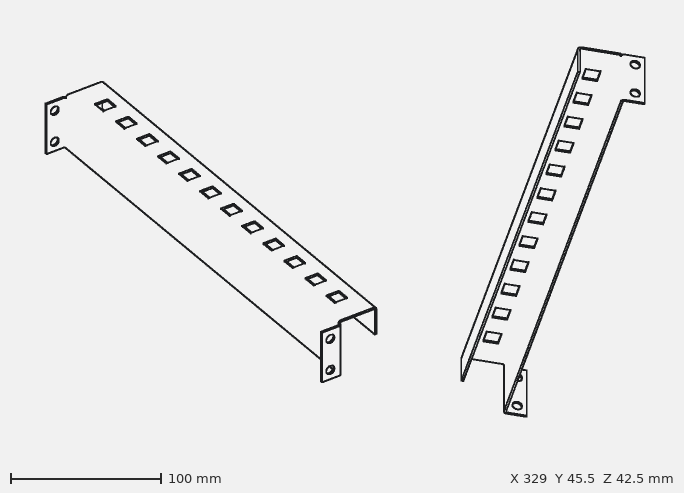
import cadquery as cq

length = 329.0
overall_depth = 45.5
overall_height = 42.5

thickness = 1.5
bend_radius = 2.5
inner_radius = bend_radius - thickness

channel_length = length - 2 * bend_radius
channel_depth = 31.0
lip_height = 22.0

flange_height = overall_height - bend_radius
flange_hole_diameter = 6.5
flange_hole_spacing = 25.0
flange_hole_inset = 6.5

square_count = 12
square_pitch = 25.0
square_size = 10.2

rear_y = overall_depth / 2
wall_front_y = rear_y - channel_depth
wall_rear_y = wall_front_y + thickness
flange_tip_y = -overall_depth / 2
web_center_y = rear_y - channel_depth / 2


def make_channel():
    """Channel section with rounded upper bends, extruded along X."""
    lip_bottom = overall_height - lip_height
    web_underside = overall_height - thickness
    bend_start = overall_height - bend_radius
    diagonal = 0.5 ** 0.5

    def bend(section, center_y, side, radius, end):
        middle = (center_y + side * radius * diagonal, bend_start + radius * diagonal)
        return section.threePointArc(middle, end)

    front_center = wall_front_y + bend_radius
    rear_center = rear_y - bend_radius
    section = cq.Workplane("YZ", origin=(-channel_length / 2, 0, 0)).moveTo(wall_front_y, 0)
    section = section.lineTo(wall_front_y, bend_start)
    section = bend(section, front_center, -1, bend_radius, (front_center, overall_height))
    section = section.lineTo(rear_center, overall_height)
    section = bend(section, rear_center, 1, bend_radius, (rear_y, bend_start))
    section = section.lineTo(rear_y, lip_bottom).lineTo(rear_y - thickness, lip_bottom)
    section = section.lineTo(rear_y - thickness, bend_start)
    section = bend(section, rear_center, 1, inner_radius, (rear_center, web_underside))
    section = section.lineTo(front_center, web_underside)
    section = bend(section, front_center, -1, inner_radius, (wall_rear_y, bend_start))
    return section.lineTo(wall_rear_y, 0).close().extrude(channel_length)


def make_left_flange():
    """End flange and its vertical bend, joined to the end of the front wall."""
    outer_x = -length / 2
    bend_end_x = outer_x + bend_radius
    flange = (
        cq.Workplane("XY")
        .moveTo(bend_end_x, wall_rear_y)
        .radiusArc((outer_x, wall_rear_y - bend_radius), -bend_radius)
        .lineTo(outer_x, flange_tip_y)
        .lineTo(outer_x + thickness, flange_tip_y)
        .lineTo(outer_x + thickness, wall_rear_y - bend_radius)
        .radiusArc((bend_end_x, wall_front_y), inner_radius)
        .close()
        .extrude(flange_height)
    )
    hole_y = flange_tip_y + flange_hole_inset
    holes = (
        cq.Workplane("YZ", origin=(outer_x, hole_y, flange_height / 2))
        .rarray(3.3, flange_hole_spacing, 1, 2)
        .circle(flange_hole_diameter / 2)
        .extrude(thickness)
    )
    return flange.cut(holes)


def make_square_holes():
    """Cutters for the evenly spaced square holes through the top web."""
    return (
        cq.Workplane("XY", origin=(0, web_center_y, overall_height - thickness))
        .rarray(square_pitch, 3.3, square_count, 1)
        .rect(square_size, square_size)
        .extrude(thickness)
    )


left_flange = make_left_flange()
right_flange = left_flange.mirror("YZ")
channel = make_channel().cut(make_square_holes())
result = channel.union(left_flange).union(right_flange)